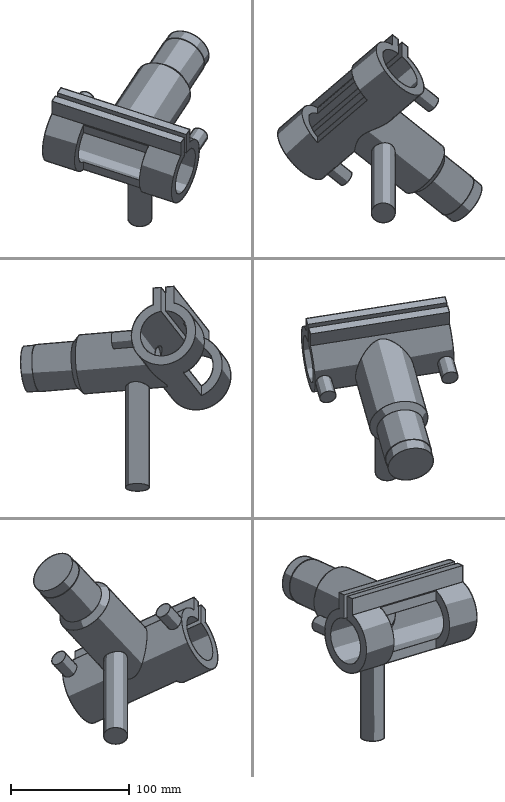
import cadquery as cq

clamp_length = 120.0
clamp_radius = 28.0
bore_radius = 20.0

ear_top = 41.4
ears_width = 18.1
slot_width = 4.0

window_length = 60.3
window_depth_limit = 10.0

barrel_radius = 25.1
neck_radius = 20.0
shoulder_taper = 5.0
neck_length = 34.2
cap_length = 10.0
cap_radius = 19.5
overall_depth = 163.0
barrel_tip = overall_depth - clamp_radius
neck_end = barrel_tip - cap_length
neck_start = neck_end - neck_length

handle_radius = 10.1
handle_bottom = -114.1
handle_y = clamp_radius + handle_radius

stud_radius = 7.0
stud_tip = 45.5
stud_spacing = 105.3

rod_radius = 10.1


def cylinder_along_y(radius, start, end, x=0):
    """Solid cylinder parallel to Y, at height zero."""
    return cq.Workplane("XZ", origin=(x, start, 0)).circle(radius).extrude(start - end)


def make_barrel():
    """Barrel and neck, revolved around the Y axis, starting at the bore axis."""
    return (
        cq.Workplane("XY")
        .polyline([
            (0, 0),
            (barrel_radius, 0),
            (barrel_radius, neck_start - shoulder_taper),
            (neck_radius, neck_start),
            (neck_radius, neck_end),
            (0, neck_end),
        ])
        .close()
        .revolve(360, (0, 0, 0), (0, 1, 0))
    )


def make_housing():
    """Clamp, barrel, handle and studs, with the plunger hole through the barrel."""
    sleeve = cq.Workplane("YZ").circle(clamp_radius).extrude(clamp_length / 2, both=True)
    ears = cq.Workplane("XY").box(clamp_length, ears_width, ear_top, centered=(True, True, False))
    handle = (
        cq.Workplane("XY", origin=(0, handle_y, handle_bottom))
        .circle(handle_radius)
        .extrude(-handle_bottom)
    )
    body = sleeve.union(ears).union(make_barrel()).union(handle)
    for side in (-1, 1):
        body = body.union(cylinder_along_y(stud_radius, 0, stud_tip, side * stud_spacing / 2))

    bore = cq.Workplane("YZ").circle(bore_radius).extrude(clamp_length / 2, both=True)
    slot = cq.Workplane("XY").box(clamp_length, slot_width, ear_top, centered=(True, True, False))
    window = (
        cq.Workplane("XY", origin=(0, -window_depth_limit - clamp_radius / 2, 0))
        .box(window_length, clamp_radius, 2 * clamp_radius)
    )
    rod_hole = cylinder_along_y(rod_radius, 0, neck_end)
    return body.cut(bore).cut(slot).cut(window).cut(rod_hole)


def make_plunger():
    """Rod that fills the barrel hole, and the cap that closes the neck."""
    rod = cylinder_along_y(rod_radius, bore_radius, neck_end)
    cap = cylinder_along_y(cap_radius, neck_end, barrel_tip)
    return rod.union(cap)


housing = make_housing()
plunger = make_plunger()

result = cq.Compound.makeCompound([housing.solids().val(), plunger.solids().val()])